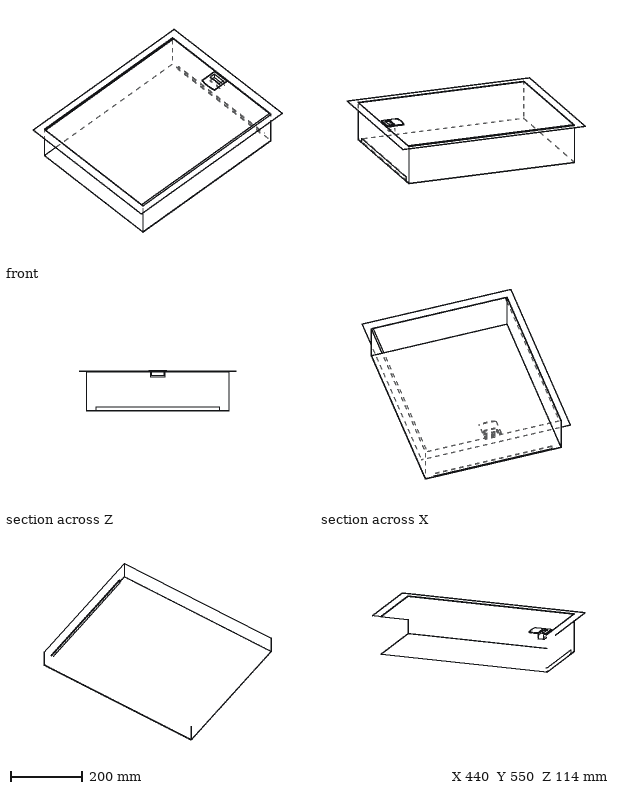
import cadquery as cq

sheet = 1.0
flange_width = 440.0
flange_length = 550.0
inside_width = 400.0
inside_height = 110.0
box_width = inside_width + 2 * sheet
box_length = 500.0
flange_top = inside_height + 2 * sheet
back_face = box_length / 2 - sheet

lid_width = 390.5
lid_top = flange_top - sheet
lid_bottom = lid_top - sheet

strip_width = 348.5
strip_height = 11.0
strip_depth = 2.0

latch_height = 2.0
latch_top = flange_top + latch_height
latch_width = 50.0
latch_back = 246.5
latch_corner = 197.5
latch_bow = 3.0

pocket_width = 36.5
pocket_back = 238.0
pocket_front = 223.0
pocket_floor = 99.5
pocket_wall = 2.0
pocket_base = 4.5


def block(x_size, y_min, y_max, z_min, z_max):
    """Box centred on X between the given Y and Z limits."""
    size = (x_size, y_max - y_min, z_max - z_min)
    solid = cq.Workplane("XY").box(*size, centered=(True, False, False))
    return solid.translate((0, y_min, z_min))


def tray():
    """Flange and sheet box with closed sides and back, and a recess for the lid."""
    half = box_length / 2
    flange = block(flange_width, -flange_length / 2, flange_length / 2, flange_top - sheet, flange_top)
    walls = block(box_width, -half, half, 0, flange_top)
    inside = block(inside_width, -half, back_face, sheet, lid_bottom)
    recess = block(lid_width, -half, half, lid_top, flange_top)
    return flange.union(walls).cut(inside).cut(recess)


def floor_strip():
    return block(strip_width, back_face - strip_depth, back_face, 0, sheet + strip_height)


def latch_plate():
    half = latch_width / 2
    return (
        cq.Workplane("XY", origin=(0, 0, lid_bottom))
        .moveTo(-half, latch_back)
        .lineTo(-half, latch_corner)
        .threePointArc((0, latch_corner - latch_bow), (half, latch_corner))
        .lineTo(half, latch_back)
        .close()
        .extrude(latch_top - lid_bottom)
    )


def pocket_shell():
    outer_width = pocket_width + 2 * pocket_wall
    outer_back = pocket_back + pocket_wall
    return block(outer_width, pocket_front, outer_back, pocket_floor - pocket_base, lid_top)


def pocket_opening():
    return block(pocket_width, pocket_front, pocket_back, pocket_floor, latch_top)


result = (
    tray()
    .union(floor_strip())
    .union(latch_plate())
    .union(pocket_shell())
    .cut(pocket_opening())
)